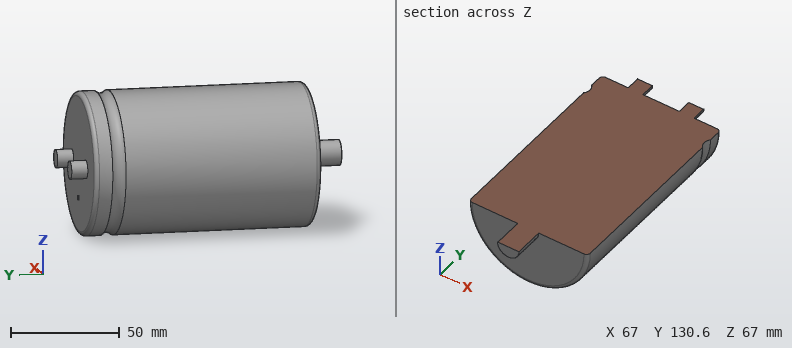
import cadquery as cq

overall_length = 130.6
can_diameter = 67.0
can_radius = can_diameter / 2
rim_fillet = 2.1

stud_diameter = 12.0
stud_length = 15.9

terminal_diameter = 8.5
terminal_height = 7.6
terminal_spacing = 28.7

groove_width = 6.3
groove_depth = 1.3
groove_setback = 8.4

vent_diameter = 2.1
vent_height = 0.4
vent_offset = 15.9

can_length = overall_length - stud_length - terminal_height


def cylinder_along_y(diameter, start_y, end_y, x=0, z=0):
    """Cylinder parallel to Y between two Y positions."""
    return cq.Workplane(
        cq.Solid.makeCylinder(
            diameter / 2, end_y - start_y, cq.Vector(x, start_y, z), cq.Vector(0, 1, 0)
        )
    )


def make_can():
    """Revolve the half profile of the can, with its concave groove, about Y."""
    groove_top = can_length - groove_setback
    groove_middle = groove_top - groove_width / 2
    groove_bottom = groove_top - groove_width
    can = (
        cq.Workplane("XY")
        .moveTo(0, 0)
        .lineTo(can_radius, 0)
        .lineTo(can_radius, groove_bottom)
        .threePointArc((can_radius - groove_depth, groove_middle), (can_radius, groove_top))
        .lineTo(can_radius, can_length)
        .lineTo(0, can_length)
        .close()
        .revolve(360, (0, 0, 0), (0, 1, 0))
    )
    return can.faces("<Y or >Y").edges().fillet(rim_fillet)


result = make_can()

result = result.union(cylinder_along_y(stud_diameter, -stud_length, 0))

for side in (-1, 1):
    terminal = cylinder_along_y(
        terminal_diameter, can_length, can_length + terminal_height, x=side * terminal_spacing / 2
    )
    result = result.union(terminal)

vent = cylinder_along_y(vent_diameter, can_length, can_length + vent_height, z=-vent_offset)
result = result.union(vent)